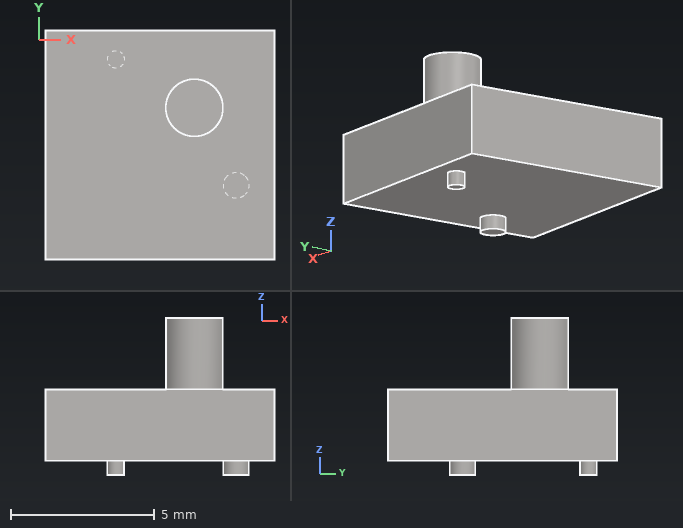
import cadquery as cq

body_side = 8.0
body_height = 2.5

post_diameter = 2.0
post_height = 2.5
post_center = (1.2, 1.3)

pin_length = 0.5
small_pin_diameter = 0.6
small_pin_center = (-1.55, 3.0)
large_pin_diameter = 0.9
large_pin_center = (2.65, -1.4)


def make_body():
    return cq.Workplane("XY").box(body_side, body_side, body_height, centered=(True, True, False))


def make_cylinder(center, diameter, start_z, length):
    """Vertical cylinder from start_z; a negative length extends downward."""
    return cq.Workplane("XY", origin=(*center, start_z)).circle(diameter / 2).extrude(length)


post = make_cylinder(post_center, post_diameter, body_height, post_height)
small_pin = make_cylinder(small_pin_center, small_pin_diameter, 0, -pin_length)
large_pin = make_cylinder(large_pin_center, large_pin_diameter, 0, -pin_length)

result = make_body().union(post).union(small_pin).union(large_pin)